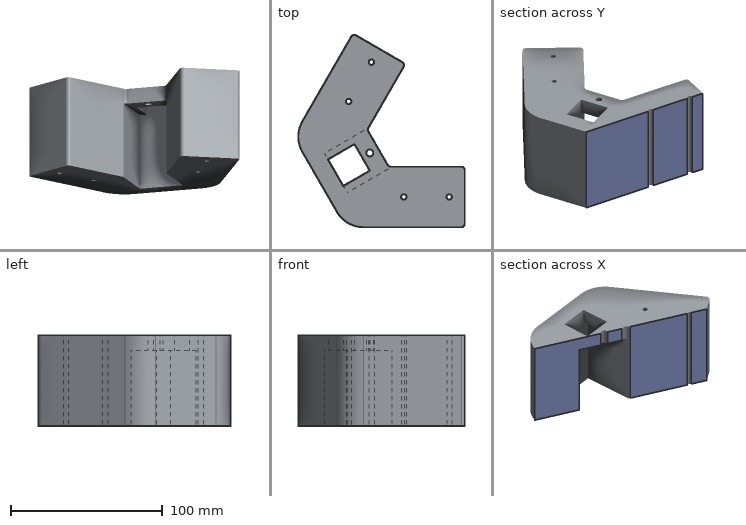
import cadquery as cq
import math

total_length = 126.8
total_width = 109.9
height = 60.0
bend_angle = 60.0

arm_width = 40.0
middle_depth = 44.5
outer_radius = 20.0
tip_radius = 2.3
inner_radius = 2.5

plate_thickness = 10.0
window_size = 20.0
center_hole_diameter = 4.5
center_hole_offset = 38.2
arm_hole_diameter = 3.4
arm_hole_spacing = 30.0
arm_hole_end_distance = 10.3

recess_width = 30.0

bend = math.radians(bend_angle)
tip_trim = tip_radius * (math.sin(bend) + math.cos(bend) - 1)
bend_trim = outer_radius * (1 / math.cos(bend / 2) - 1)
outer_run = (total_length + tip_trim) / math.sin(bend)
middle_length = (outer_run - total_width - bend_trim) / (1 - math.cos(bend))
arm_length = outer_run - middle_length
corner_x = total_width - arm_length

middle_origin = (
    corner_x - middle_length / 2 * math.cos(bend),
    middle_length / 2 * math.sin(bend),
)
middle_angle = 90 - bend_angle


def in_place(shape):
    """Move a shape from the middle section frame to its final position."""
    return shape.rotate((0, 0, 0), (0, 0, 1), middle_angle).translate((*middle_origin, 0))


def arm_point(along, across, side):
    """Point on an arm: along from its outer corner, across inwards; side is -1 lower, 1 upper."""
    x = along * math.sin(bend) + across * math.cos(bend)
    y = middle_length / 2 + along * math.cos(bend) - across * math.sin(bend)
    return (x, side * y)


def make_body():
    inner_along = (middle_depth - arm_width * math.cos(bend)) / math.sin(bend)
    outline = [
        arm_point(0, 0, -1),
        arm_point(arm_length, 0, -1),
        arm_point(arm_length, arm_width, -1),
        arm_point(inner_along, arm_width, -1),
        arm_point(inner_along, arm_width, 1),
        arm_point(arm_length, arm_width, 1),
        arm_point(arm_length, 0, 1),
        arm_point(0, 0, 1),
    ]
    body = cq.Workplane("XY").polyline(outline).close().extrude(height)
    outer_bends = body.edges("|Z").filter(lambda edge: edge.Center().x < outer_radius / 2)
    body = outer_bends.fillet(outer_radius)

    def is_inner_bend(edge):
        center = edge.Center()
        return abs(center.x - middle_depth) < inner_radius and abs(center.y) < middle_length / 2

    body = body.edges("|Z").filter(is_inner_bend).fillet(inner_radius)
    tip_x = arm_point(arm_length, 0, 1)[0]
    tips = body.edges("|Z").filter(lambda edge: edge.Center().x > tip_x - tip_radius)
    return tips.fillet(tip_radius)


def cut_recess(body):
    recess = cq.Workplane("XY").box(
        middle_depth, recess_width, height - plate_thickness, centered=(False, True, False)
    )
    recess_start = (middle_depth - window_size) / 2
    return body.cut(recess.translate((recess_start, 0, 0)))


def cut_openings(body):
    outer_hole = arm_length - arm_hole_end_distance
    holes = [
        arm_point(along, arm_width / 2, side)
        for side in (-1, 1)
        for along in (outer_hole, outer_hole - arm_hole_spacing)
    ]
    base = cq.Workplane("XY")
    window = base.center(middle_depth / 2, 0).rect(window_size, window_size).extrude(height)
    arm_holes = base.pushPoints(holes).circle(arm_hole_diameter / 2).extrude(height)
    center_hole = base.center(center_hole_offset, 0).circle(center_hole_diameter / 2).extrude(height)
    return body.cut(window).cut(arm_holes).cut(center_hole)


result = in_place(cut_openings(cut_recess(make_body())))